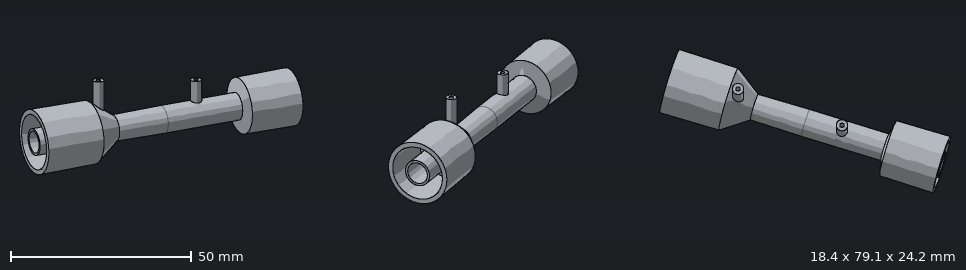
import cadquery as cq

length = 79.1

inlet_rim_dia = 18.4
inlet_back_dia = 18.0
inlet_cup_length = 17.2
inlet_neck_length = 7.4

outlet_rim_dia = 16.45
outlet_back_dia = 16.05
outlet_cup_length = 15.6
outlet_neck_length = 0.95

parting_line = 39.55
tube_mid_dia = 7.9
tube_inlet_dia = 7.5
tube_outlet_dia = 7.8

cup_wall = 1.4
socket_draft = 0.2
floor_thickness = 1.35
spigot_dia = 7.5

bore_dia = 6.2
throat_dia = 3.0
converging_start = inlet_cup_length + inlet_neck_length
throat_start = 47.5
throat_end = 53.0
diverging_end = length - outlet_cup_length

tap_dia = 3.2
tap_hole_dia = 1.2
inlet_tap_station = 19.85
inlet_tap_top = 15.0
throat_tap_station = 50.1
throat_tap_top = 10.05


def turned(stations):
    """Solid of revolution about Y through (station, diameter) pairs."""
    profile = [(dia / 2, station) for station, dia in stations]
    axis_start = (0, stations[0][0])
    axis_end = (0, stations[-1][0])
    outline = cq.Workplane("XY").polyline([axis_start, *profile, axis_end]).close()
    return outline.revolve(360, (0, 0, 0), (0, 1, 0))


def socket(rim_station, floor_station, rim_dia):
    """Drafted annular pocket between a cup wall and its spigot."""
    mouth_dia = rim_dia - 2 * cup_wall
    floor_dia = mouth_dia - 2 * socket_draft
    pocket = turned([(rim_station, mouth_dia), (floor_station, floor_dia)])
    return pocket.cut(turned([(rim_station, spigot_dia), (floor_station, spigot_dia)]))


def upright_cylinder(station, dia, top):
    """Vertical cylinder from the tube axis up to the given height."""
    return cq.Workplane("XY").center(0, station).circle(dia / 2).extrude(top)


outlet_cup_back = length - outlet_cup_length
body = turned([
    (0, inlet_rim_dia),
    (inlet_cup_length, inlet_back_dia),
    (inlet_cup_length + inlet_neck_length, tube_inlet_dia),
    (parting_line, tube_mid_dia),
    (outlet_cup_back - outlet_neck_length, tube_outlet_dia),
    (outlet_cup_back, outlet_back_dia),
    (length, outlet_rim_dia),
])

passage = turned([
    (0, bore_dia),
    (converging_start, bore_dia),
    (throat_start, throat_dia),
    (throat_end, throat_dia),
    (diverging_end, bore_dia),
    (length, bore_dia),
])

taps = [(inlet_tap_station, inlet_tap_top), (throat_tap_station, throat_tap_top)]
for station, top in taps:
    body = body.union(upright_cylinder(station, tap_dia, top))

body = body.cut(socket(0, inlet_cup_length - floor_thickness, inlet_rim_dia))
body = body.cut(socket(length, outlet_cup_back + floor_thickness, outlet_rim_dia))
body = body.cut(passage)
for station, top in taps:
    body = body.cut(upright_cylinder(station, tap_hole_dia, top))

result = body.translate((0, -length / 2, 0))